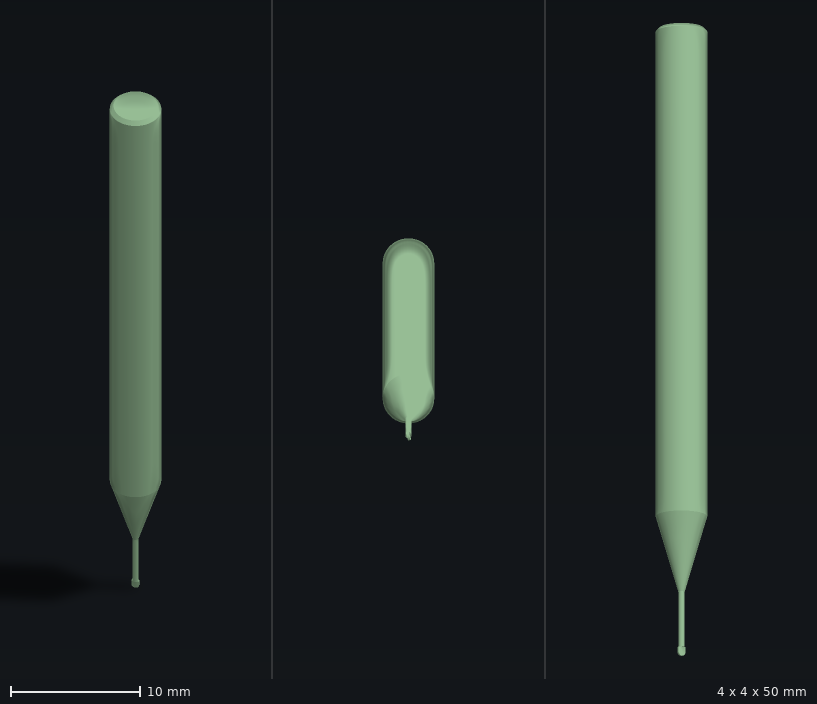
import cadquery as cq

total_length = 50.0
shank_radius = 2.0
shank_chamfer = 0.3

cone_top_z = 11.1
neck_top_z = 5.1
neck_radius = 0.25

blade_radius = 0.3
blade_thickness = 0.2
blade_length = 0.7
blade_angle = 45.0


def make_holder():
    """Chamfered shank, cone and thin neck, turned about the Z axis."""
    return (
        cq.Workplane("XZ")
        .moveTo(0, blade_length)
        .lineTo(neck_radius, blade_length)
        .lineTo(neck_radius, neck_top_z)
        .lineTo(shank_radius, cone_top_z)
        .lineTo(shank_radius, total_length)
        .lineTo(0, total_length)
        .close()
        .revolve(360, (0, 0, 0), (0, 1, 0))
        .faces(">Z")
        .chamfer(shank_chamfer)
    )


def make_cutting_blade():
    """Flat plate with a round nose, seated against the neck and turned about Z."""
    return (
        cq.Workplane("XZ")
        .moveTo(-blade_radius, blade_length)
        .lineTo(-blade_radius, blade_radius)
        .threePointArc((0, 0), (blade_radius, blade_radius))
        .lineTo(blade_radius, blade_length)
        .close()
        .extrude(blade_thickness / 2, both=True)
        .rotate((0, 0, 0), (0, 0, 1), blade_angle)
    )


holder = make_holder()
cutting_blade = make_cutting_blade()

result = cq.Compound.makeCompound([holder.val(), cutting_blade.val()])